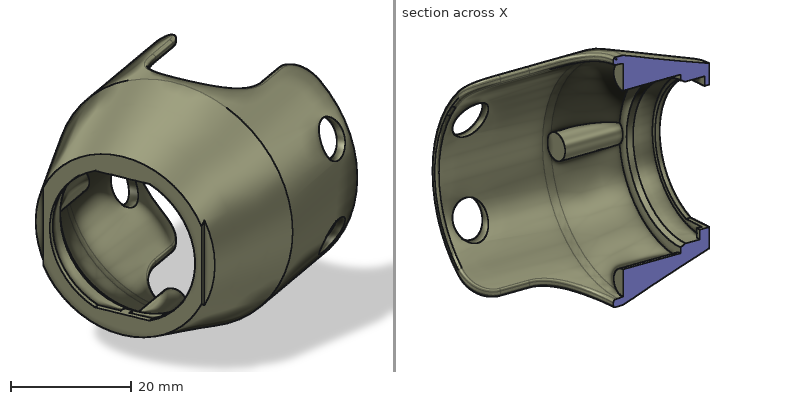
import cadquery as cq
import math

length = 41.0
skirt_radius = 22.5
cone_length = 18.0
cone_angle = math.radians(18)
nose_radius = skirt_radius - cone_length * math.tan(cone_angle)
wall = 1.5

lip_radius = 13.75
lip_depth = 1.0
lip_flat_offset = 12.75
seat_radius = 14.5
seat_end = 5.0
flare_radius = 15.0
flare_end = 6.0

cavity_radius = skirt_radius - wall
cavity_knee = cone_length + wall * math.tan(cone_angle / 2)
cavity_start_radius = cavity_radius - (cavity_knee - flare_end) * math.tan(cone_angle)
knee_fillet = 5.0
knee_fillet_end = cavity_knee + knee_fillet * math.tan(cone_angle / 2)

tab_width = 1.6
tab_length = 1.0

nose_flat_offset = 15.0
nose_flat_depth = 1.0

post_radius = 2.5
post_center = 18.5
post_count = 4

slot_radius = 10.0
slot_center_y = 30.0
slot_mouth_radius = 5.0
edge_fillet = 0.5

surface_tolerance = 0.01

cross_hole_diameter = 7.0
cross_hole_y = 35.5
cross_hole_z = 9.0


def revolve_profile(points):
    """Revolve a (radius, y) outline about the Y axis."""
    outline = cq.Workplane("XY").polyline(points).close()
    return outline.revolve(360, (0, 0, 0), (0, 1, 0))


def cylinder_along_y(x, z, radius, start, end):
    plane = cq.Workplane("XZ", origin=(0, start, 0))
    return plane.center(x, z).circle(radius).extrude(start - end)


def make_outside():
    return revolve_profile([
        (0, 0),
        (nose_radius, 0),
        (skirt_radius, cone_length),
        (skirt_radius, length),
        (0, length),
    ])


def make_lip_opening():
    opening = cylinder_along_y(0, 0, lip_radius, 0, lip_depth)
    flats = cq.Workplane("XY").box(2 * lip_radius, 2 * lip_depth, 2 * lip_flat_offset)
    return opening.intersect(flats)


def make_cavity():
    """Space behind the lip: seat, flare, cone and open cylinder, with the knee rounded."""
    cavity = revolve_profile([
        (0, lip_depth),
        (seat_radius, lip_depth),
        (seat_radius, seat_end),
        (flare_radius, flare_end),
        (cavity_start_radius, flare_end),
        (cavity_radius, cavity_knee),
        (cavity_radius, length),
        (0, length),
    ])
    knee = cq.selectors.BoxSelector(
        (-skirt_radius, cavity_knee - surface_tolerance, -skirt_radius),
        (skirt_radius, cavity_knee + surface_tolerance, skirt_radius),
        boundingbox=True,
    )
    return cavity.edges(knee).fillet(knee_fillet)


def make_posts():
    posts = cq.Workplane("XY")
    for i in range(post_count):
        angle = 2 * math.pi * i / post_count
        x = post_center * math.cos(angle)
        z = post_center * math.sin(angle)
        posts = posts.add(cylinder_along_y(x, z, post_radius, flare_end, cone_length))
    return posts.combine()


def make_tab():
    height = seat_radius - lip_flat_offset
    tab = cq.Workplane("XY").box(tab_width, tab_length, height, centered=(True, False, False))
    return tab.translate((0, lip_depth, -seat_radius))


def make_slot():
    """U-shaped slot along Z whose mouth flares out with rounded corners."""
    mouth_y = length - slot_mouth_radius
    mouth_half_width = slot_radius + slot_mouth_radius
    corner_mid = slot_mouth_radius * math.sqrt(0.5)
    corner_x = mouth_half_width - corner_mid
    corner_y = mouth_y + corner_mid
    return (
        cq.Workplane("XY")
        .moveTo(-mouth_half_width, length)
        .threePointArc((-corner_x, corner_y), (-slot_radius, mouth_y))
        .lineTo(-slot_radius, slot_center_y)
        .threePointArc((0, slot_center_y - slot_radius), (slot_radius, slot_center_y))
        .lineTo(slot_radius, mouth_y)
        .threePointArc((corner_x, corner_y), (mouth_half_width, length))
        .close()
        .extrude(skirt_radius, both=True)
    )


def make_nose_flats():
    width = skirt_radius - nose_flat_offset
    cutter = cq.Workplane("XY").box(width, nose_flat_depth, 2 * skirt_radius, centered=(False, False, True))
    right = cutter.translate((nose_flat_offset, 0, 0))
    return right.union(right.mirror("YZ"))


def make_cross_holes():
    return (
        cq.Workplane("YZ")
        .pushPoints([(cross_hole_y, -cross_hole_z), (cross_hole_y, cross_hole_z)])
        .circle(cross_hole_diameter / 2)
        .extrude(skirt_radius, both=True)
    )


def round_open_edges(body, surface_radius):
    """Round the slot and mouth edges that lie on the skirt surface of the given radius."""
    rim_edges = []
    for edge in body.edges().vals():
        middle = edge.positionAt(0.5)
        on_surface = abs(math.hypot(middle.x, middle.z) - surface_radius) < surface_tolerance
        past_knee = middle.y > knee_fillet_end + surface_tolerance
        is_seam = edge.geomType() == "LINE" and abs(middle.z) < surface_tolerance
        if on_surface and past_knee and not is_seam:
            rim_edges.append(edge)
    return body.newObject(rim_edges).fillet(edge_fillet)


body = make_outside().cut(make_cavity().cut(make_posts()))
body = body.cut(make_slot())
body = round_open_edges(body, skirt_radius)
body = round_open_edges(body, cavity_radius)
body = body.cut(make_cross_holes())
body = body.cut(make_lip_opening())
body = body.union(make_tab())
result = body.cut(make_nose_flats())